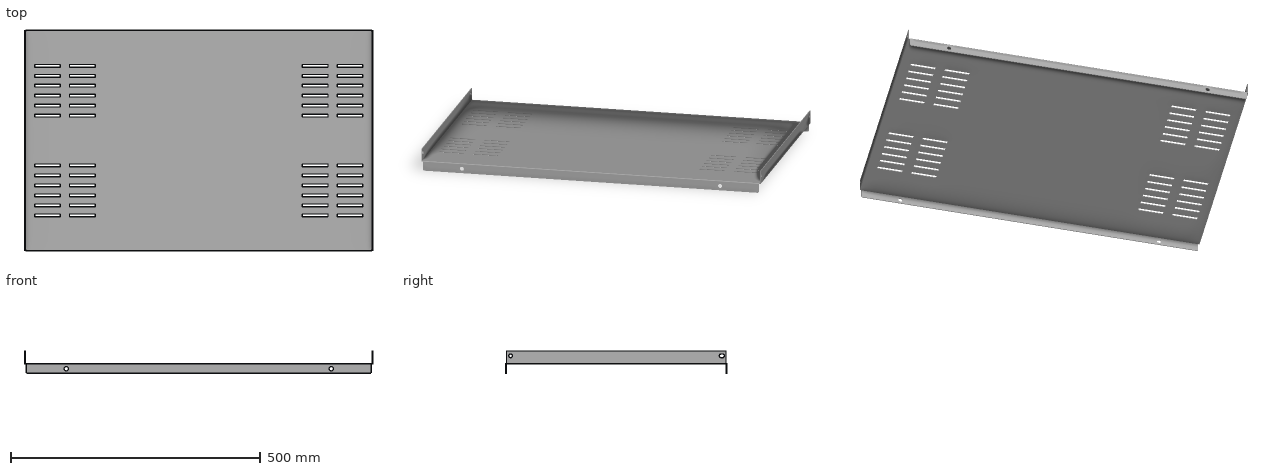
import cadquery as cq

LENGTH = 699.0
WIDTH = 444.0
HEIGHT = 45.0
SHEET = 1.5

SKIRT_HEIGHT = 20.0
SKIRT_END_SETBACK = 3.0
SKIRT_LENGTH = LENGTH - 2 * SKIRT_END_SETBACK
SKIRT_CORNER_CHAMFER = 2.0
SKIRT_BEND_RADIUS = SHEET
END_FLANGE_WIDTH = WIDTH - 2 * SKIRT_BEND_RADIUS

SKIRT_HOLE_DIAMETER = 8.5
SKIRT_HOLE_X = 266.0
SKIRT_HOLE_DEPTH = 11.0

MOUNT_HOLE_DIAMETER = 7.0
MOUNT_SLOT_LENGTH = 10.0
MOUNT_Y = 212.0
MOUNT_DROP = 10.0

VENT_LENGTH = 51.0
VENT_WIDTH = 5.0
VENT_COLUMNS = 2
VENT_ROWS = 6
VENT_COLUMN_PITCH = 70.0
VENT_ROW_PITCH = 20.0
VENT_END_MARGIN = 20.5
VENT_FIRST_ROW_Y = 50.0

FLOOR_TOP = SKIRT_HEIGHT
FLOOR_BOTTOM = FLOOR_TOP - SHEET
SIDES = (-1, 1)


def make_floor_and_skirts():
    """Downward channel running along X, with rounded outer bends."""
    outer = (
        cq.Workplane("XY")
        .box(SKIRT_LENGTH, WIDTH, SKIRT_HEIGHT, centered=(True, True, False))
        .edges("|X and >Z")
        .fillet(SKIRT_BEND_RADIUS)
        .edges("|Y and <Z")
        .chamfer(SKIRT_CORNER_CHAMFER)
    )
    cavity = cq.Workplane("XY").box(
        SKIRT_LENGTH, WIDTH - 2 * SHEET, FLOOR_BOTTOM, centered=(True, True, False)
    )
    return outer.cut(cavity)


def make_end_tray():
    """Floor reaching the full length, with an upright flange at each X end."""
    outer = cq.Workplane("XY").box(
        LENGTH, END_FLANGE_WIDTH, HEIGHT - FLOOR_BOTTOM, centered=(True, True, False)
    )
    cavity = (
        cq.Workplane("XY", origin=(0, 0, SHEET))
        .box(LENGTH - 2 * SHEET, END_FLANGE_WIDTH, HEIGHT - FLOOR_TOP, centered=(True, True, False))
    )
    return outer.cut(cavity).translate((0, 0, FLOOR_BOTTOM))


def make_vents():
    """Rectangular vent cutters mirrored into all four quadrants."""
    first_column_x = LENGTH / 2 - VENT_END_MARGIN - VENT_LENGTH / 2
    centers = []
    for x_side in SIDES:
        for y_side in SIDES:
            for column in range(VENT_COLUMNS):
                for row in range(VENT_ROWS):
                    x = first_column_x - column * VENT_COLUMN_PITCH
                    y = VENT_FIRST_ROW_Y + row * VENT_ROW_PITCH
                    centers.append((x_side * x, y_side * y))
    return (
        cq.Workplane("XY", origin=(0, 0, FLOOR_BOTTOM))
        .pushPoints(centers)
        .rect(VENT_LENGTH, VENT_WIDTH)
        .extrude(SHEET)
    )


def make_skirt_holes():
    """Round cutters running along Y through both skirts."""
    z = FLOOR_TOP - SKIRT_HOLE_DEPTH
    return (
        cq.Workplane("XZ")
        .pushPoints([(side * SKIRT_HOLE_X, z) for side in SIDES])
        .circle(SKIRT_HOLE_DIAMETER / 2)
        .extrude(WIDTH / 2, both=True)
    )


def make_mount_openings():
    """Cutters along X through both end flanges: a round hole at -Y, a slot at +Y."""
    z = HEIGHT - MOUNT_DROP
    hole = cq.Workplane("YZ").center(-MOUNT_Y, z).circle(MOUNT_HOLE_DIAMETER / 2)
    slot = cq.Workplane("YZ").center(MOUNT_Y, z).slot2D(MOUNT_SLOT_LENGTH, MOUNT_HOLE_DIAMETER)
    return hole.extrude(LENGTH / 2, both=True).union(slot.extrude(LENGTH / 2, both=True))


result = (
    make_floor_and_skirts()
    .union(make_end_tray())
    .cut(make_vents())
    .cut(make_skirt_holes())
    .cut(make_mount_openings())
)